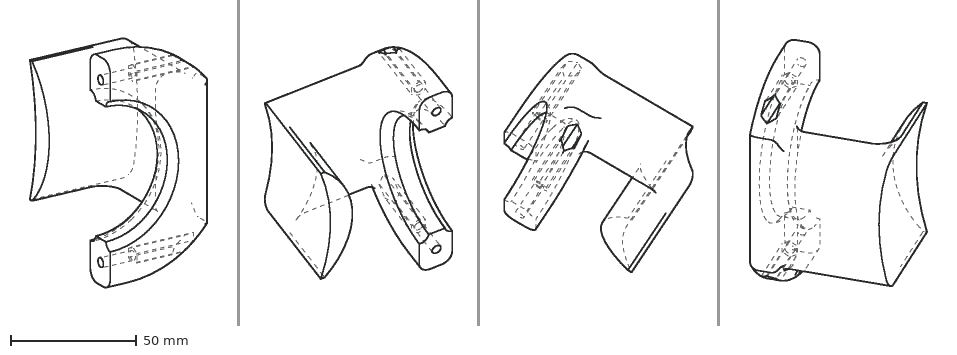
import cadquery as cq
import math

LENGTH_X = 60.0
DEPTH_Y = 48.0
HEIGHT_Z = 98.0
THICKNESS = 15.0
ROOT_LENGTH = 7.8
BLEND = 5.0

FLAP_HALF_HEIGHT = 30.0
FLAP_HOLLOW = 4.4
FLAP_TIP = 1.8
FLAP_MIDDLE = 14.5

RING_RADIUS = HEIGHT_Z / 2
RING_STRAIGHT = 10.0
BORE_RADIUS = 29.0
RELIEF_RADIUS = 4.0
RELIEF_PATH_RADIUS = 28.3
RELIEF_LEFT_X = 45.3
RELIEF_RIGHT_X = 60.7

SCREW_X = 52.8
SCREW_Z = 39.2
SCREW_DIAMETER = 4.0
NUT_CORNER_DIAMETER = 7.4
NUT_SEAT_Y = 15.0

ring_left = LENGTH_X - THICKNESS
plate_front = DEPTH_Y - THICKNESS


def make_flap():
    """Vertical crescent extruded from front to back."""
    return (
        cq.Workplane("XZ")
        .moveTo(0, -FLAP_HALF_HEIGHT)
        .lineTo(FLAP_TIP, -FLAP_HALF_HEIGHT)
        .threePointArc((FLAP_MIDDLE, 0), (FLAP_TIP, FLAP_HALF_HEIGHT))
        .lineTo(0, FLAP_HALF_HEIGHT)
        .threePointArc((FLAP_HOLLOW, 0), (0, -FLAP_HALF_HEIGHT))
        .close()
        .extrude(-DEPTH_Y)
    )


def make_plate():
    """Back plate from the flap to the ring, its left end hollowed like the flap."""
    return (
        cq.Workplane("XZ", origin=(0, plate_front, 0))
        .moveTo(0, -FLAP_HALF_HEIGHT)
        .lineTo(ring_left, -FLAP_HALF_HEIGHT)
        .lineTo(ring_left, FLAP_HALF_HEIGHT)
        .lineTo(0, FLAP_HALF_HEIGHT)
        .threePointArc((FLAP_HOLLOW, 0), (0, -FLAP_HALF_HEIGHT))
        .close()
        .extrude(-THICKNESS)
    )


def make_ring():
    """Clip blank: straight front, round outline, flat back."""
    half_flat = math.sqrt(RING_RADIUS**2 - (DEPTH_Y - RING_STRAIGHT) ** 2)
    arc_y = RING_STRAIGHT + RING_RADIUS * math.sin(math.pi / 8)
    arc_z = RING_RADIUS * math.cos(math.pi / 8)
    return (
        cq.Workplane("YZ", origin=(ring_left, 0, 0))
        .moveTo(0, -RING_RADIUS)
        .lineTo(RING_STRAIGHT, -RING_RADIUS)
        .threePointArc((arc_y, -arc_z), (DEPTH_Y, -half_flat))
        .lineTo(DEPTH_Y, half_flat)
        .threePointArc((arc_y, arc_z), (RING_STRAIGHT, RING_RADIUS))
        .lineTo(0, RING_RADIUS)
        .close()
        .extrude(THICKNESS)
    )


def round_ring(ring):
    """Round the outline on both faces, and the back edge on the right face."""
    front_limit_y = RING_STRAIGHT / 2
    outline = cq.selectors.BoxSelector(
        (ring_left - 1, front_limit_y - 1, -RING_RADIUS - 1),
        (ring_left + 1, DEPTH_Y - 1, RING_RADIUS + 1),
    )
    right_outline = cq.selectors.BoxSelector(
        (LENGTH_X - 1, front_limit_y - 1, -RING_RADIUS - 1),
        (LENGTH_X + 1, DEPTH_Y + 1, RING_RADIUS + 1),
    )
    return ring.edges(outline + right_outline).fillet(BLEND)


def make_arm():
    """Flap and plate joined, with long edges rounded and the inside corner blended.

    The plate is continued into the ring with its rounded section.
    """
    arm = make_flap().union(make_plate())
    long_edges = cq.selectors.BoxSelector(
        (ring_left / 2 - 2.9, plate_front - 1, -FLAP_HALF_HEIGHT - 1),
        (ring_left / 2 + 2.9, DEPTH_Y + 1, FLAP_HALF_HEIGHT + 1),
    )
    inside_corner = cq.selectors.BoxSelector(
        (FLAP_TIP, plate_front - 1, -1),
        (FLAP_MIDDLE, plate_front + 1, 1),
    )
    arm = arm.edges(long_edges + inside_corner).fillet(BLEND)
    root = arm.faces(">X").wires().toPending().workplane().extrude(ROOT_LENGTH)
    return arm.union(root)


def blend_root(body):
    """Blend the plate into the left face of the ring all around its section."""
    root_edges = cq.selectors.BoxSelector(
        (ring_left - 1, plate_front - 1, -FLAP_HALF_HEIGHT - 0.2),
        (ring_left + 1, DEPTH_Y + 1, FLAP_HALF_HEIGHT + 0.2),
    )
    return body.edges(root_edges).fillet(BLEND)


def make_bore():
    """Clip bore with a round relief along each rim."""
    bore = cq.Workplane("YZ", origin=(ring_left, 0, 0)).circle(BORE_RADIUS).extrude(THICKNESS)
    for relief_x in (RELIEF_LEFT_X, RELIEF_RIGHT_X):
        relief = (
            cq.Workplane("XY")
            .center(relief_x, RELIEF_PATH_RADIUS)
            .circle(RELIEF_RADIUS)
            .revolve(360, (0, -RELIEF_PATH_RADIUS), (1, -RELIEF_PATH_RADIUS))
        )
        bore = bore.union(relief)
    return bore


def make_screw_cut(z):
    """Through hole along Y with a nut pocket open to the back."""
    hole = cq.Workplane("XZ").center(SCREW_X, z).circle(SCREW_DIAMETER / 2).extrude(-DEPTH_Y)
    pocket = (
        cq.Workplane("XZ", origin=(0, NUT_SEAT_Y, 0))
        .center(SCREW_X, z)
        .transformed(rotate=(0, 0, 90))
        .polygon(6, NUT_CORNER_DIAMETER)
        .extrude(-DEPTH_Y)
    )
    return hole.union(pocket)


body = make_arm().union(round_ring(make_ring()))
body = blend_root(body.cut(make_bore()))
for screw_z in (-SCREW_Z, SCREW_Z):
    body = body.cut(make_screw_cut(screw_z))

result = body